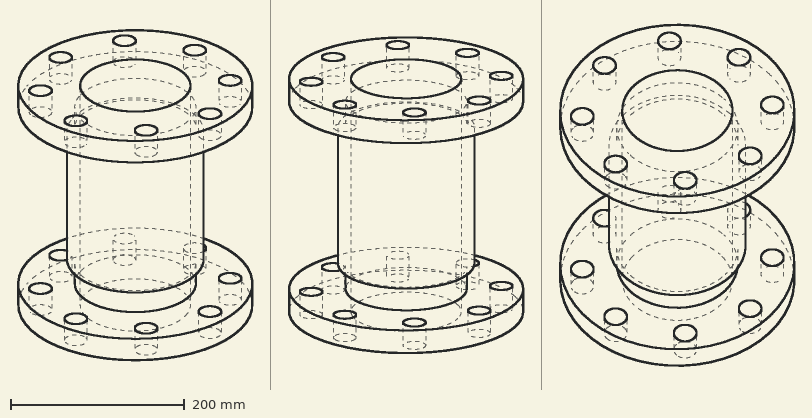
import cadquery as cq

total_height = 287.0
flange_diameter = 270.0
flange_thickness = 28.0

bore_diameter = 127.0
neck_diameter = 139.8

sleeve_diameter = 157.8
sleeve_end_gap = 57.5
sleeve_edge_radius = 3.2
sleeve_root_radius = 3.0

bolt_count = 8
bolt_circle_diameter = 219.8
bolt_hole_diameter = 26.0

bolt_half_pitch = 360 / bolt_count / 2


def cylinder(diameter, bottom_z, height):
    """Upright cylinder on the Z axis."""
    return cq.Workplane("XY", origin=(0, 0, bottom_z)).circle(diameter / 2).extrude(height)


def flange(bottom_z):
    """Disc with a ring of bolt holes, its underside at bottom_z."""
    bolt_holes = (
        cq.Workplane("XY", origin=(0, 0, bottom_z))
        .polarArray(bolt_circle_diameter / 2, bolt_half_pitch, 360, bolt_count)
        .circle(bolt_hole_diameter / 2)
        .extrude(flange_thickness)
    )
    return cylinder(flange_diameter, bottom_z, flange_thickness).cut(bolt_holes)


def sleeved_tube():
    """Solid tube body with the sleeve around it, filleted at both sleeve ends."""
    tube = cylinder(neck_diameter, 0, total_height)
    sleeve = cylinder(sleeve_diameter, sleeve_end_gap, total_height - 2 * sleeve_end_gap)

    between_flanges = cq.selectors.BoxSelector(
        (-sleeve_diameter, -sleeve_diameter, flange_thickness),
        (sleeve_diameter, sleeve_diameter, total_height - flange_thickness),
    )
    narrowest = cq.selectors.RadiusNthSelector(0)
    widest = cq.selectors.RadiusNthSelector(-1)

    body = tube.union(sleeve)
    body = body.edges(between_flanges).edges("%CIRCLE").edges(narrowest).fillet(sleeve_root_radius)
    return body.edges("%CIRCLE").edges(widest).fillet(sleeve_edge_radius)


bottom_flange = flange(0)
top_flange = flange(total_height - flange_thickness)
bore = cylinder(bore_diameter, 0, total_height)

result = sleeved_tube().union(bottom_flange).union(top_flange).cut(bore)